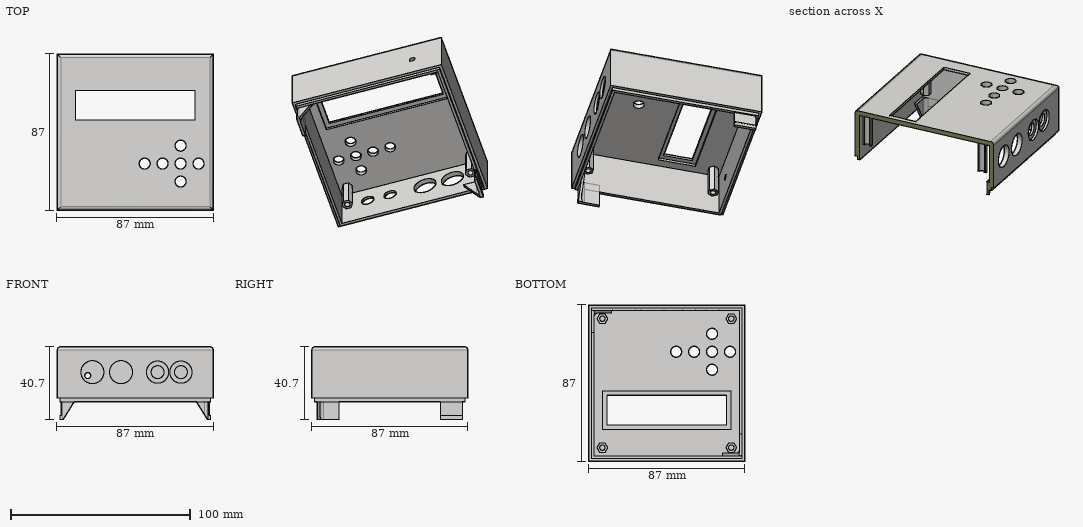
import cadquery as cq
import math

WIDTH = 87.0
HEIGHT = 40.7
WALL = 3.0
EDGE_RADIUS = 2.0
TAB_DROP = 10.0
LIP_HEIGHT = 2.0
LIP_INSET = 1.5
LIP_BOTTOM = -(HEIGHT - TAB_DROP)
BODY_BOTTOM = LIP_BOTTOM + LIP_HEIGHT
HALF_WIDTH = WIDTH / 2
INNER_HALF = HALF_WIDTH - WALL

WINDOW_LENGTH = 66.4
WINDOW_WIDTH = 16.4
WINDOW_Y = 15.0
DISPLAY_MARGIN = 2.5
WINDOW_THICKNESS = 1.5

BUTTON_DIAMETER = 6.0
BUTTON_PITCH = 10.0
BUTTON_CENTRE = (25.2, -17.5)
BUTTON_STEPS = [(-2, 0), (-1, 0), (0, 0), (1, 0), (0, 1), (0, -1)]

CONNECTOR_Z = -14.2
PLAIN_HOLE_DIAMETER = 12.8
PLAIN_HOLE_XS = (-23.9, -7.95)
JACK_HOLE_DIAMETER = 7.2
JACK_RECESS_DIAMETER = 12.4
JACK_RECESS_DEPTH = 1.5
JACK_XS = (12.4, 25.4)

CABLE_HOLE_DIAMETER = 3.2
CABLE_HOLE_X = -26.5
CABLE_HOLE_Z = -16.1

TAB_LENGTH = 12.3
TAB_THICKNESS = 0.8
TAB_ROOT_HEIGHT = 5.0
TAB_TOP = LIP_BOTTOM + TAB_ROOT_HEIGHT
TAB_BOTTOM = -HEIGHT
RIDGE_HEIGHT = 2.4
RIDGE_DEPTH = 0.7
GUSSET_THICKNESS = 1.5
GUSSET_TIP = 0.3
GUSSET_SLOPE = 0.62
GUSSET_FILLET = 2.0

POST_OFFSET = 35.9
POST_SIDES = 6
POST_DIAMETER = 6.0
POST_HOLE_DIAMETER = 3.0
POST_BOTTOM = -20.4


def box(x_range, y_range, z_range):
    """Axis-aligned box between pairs of limits."""
    size = [high - low for low, high in (x_range, y_range, z_range)]
    corner = (x_range[0], y_range[0], z_range[0])
    return cq.Workplane("XY").box(*size, centered=False).translate(corner)


def square_block(half, bottom, top):
    return box((-half, half), (-half, half), (bottom, top))


def y_cylinder(diameter, x, z, y_start, length):
    """Cylinder that runs from y_start toward +Y."""
    start = cq.Vector(x, y_start, z)
    return cq.Workplane(cq.Solid.makeCylinder(diameter / 2, length, start, cq.Vector(0, 1, 0)))


def make_shell():
    body = square_block(HALF_WIDTH, BODY_BOTTOM, 0)
    body = body.faces(">Z").edges().fillet(EDGE_RADIUS)
    lip = square_block(HALF_WIDTH - LIP_INSET, LIP_BOTTOM, BODY_BOTTOM)
    cavity = square_block(INNER_HALF, LIP_BOTTOM, -WALL)
    return body.union(lip).cut(cavity)


def cut_window(part):
    window = cq.Workplane("XY").box(WINDOW_LENGTH, WINDOW_WIDTH, 2 * WALL)
    recess_length = WINDOW_LENGTH + 2 * DISPLAY_MARGIN
    recess_width = WINDOW_WIDTH + 2 * DISPLAY_MARGIN
    recess = cq.Workplane("XY").box(recess_length, recess_width, WALL)
    recess = recess.translate((0, 0, -WINDOW_THICKNESS - WALL / 2))
    return part.cut(window.union(recess).translate((0, WINDOW_Y, 0)))


def cut_buttons(part):
    centre_x, centre_y = BUTTON_CENTRE
    points = [(centre_x + i * BUTTON_PITCH, centre_y + j * BUTTON_PITCH) for i, j in BUTTON_STEPS]
    holes = cq.Workplane("XY").pushPoints(points).circle(BUTTON_DIAMETER / 2).extrude(-WALL)
    return part.cut(holes)


def cut_side_holes(part):
    for x in PLAIN_HOLE_XS:
        part = part.cut(y_cylinder(PLAIN_HOLE_DIAMETER, x, CONNECTOR_Z, -HALF_WIDTH, WALL))
    for x in JACK_XS:
        part = part.cut(y_cylinder(JACK_HOLE_DIAMETER, x, CONNECTOR_Z, -HALF_WIDTH, WALL))
        part = part.cut(y_cylinder(JACK_RECESS_DIAMETER, x, CONNECTOR_Z, -HALF_WIDTH, JACK_RECESS_DEPTH))
    return part.cut(y_cylinder(CABLE_HOLE_DIAMETER, CABLE_HOLE_X, CABLE_HOLE_Z, INNER_HALF, WALL))


def make_tab():
    """Snap tab of the +X +Y corner: plate, ridge, sloped gusset and corner fillet."""
    plate_outer = INNER_HALF + TAB_THICKNESS
    tab_start = INNER_HALF - TAB_LENGTH
    plate = box((INNER_HALF, plate_outer), (tab_start, INNER_HALF), (TAB_BOTTOM, TAB_TOP))
    ridge = box(
        (plate_outer, plate_outer + RIDGE_DEPTH),
        (tab_start, INNER_HALF),
        (TAB_BOTTOM, TAB_BOTTOM + RIDGE_HEIGHT),
    )
    gusset_y = INNER_HALF - GUSSET_THICKNESS
    fillet_x = INNER_HALF - GUSSET_FILLET
    fillet_y = gusset_y - GUSSET_FILLET
    diagonal = GUSSET_FILLET * (1 - math.sqrt(0.5))
    reach = GUSSET_TIP + GUSSET_SLOPE * (TAB_TOP - TAB_BOTTOM)
    gusset_x = INNER_HALF - reach
    bracket = (
        cq.Workplane("XY", origin=(0, 0, TAB_BOTTOM))
        .moveTo(gusset_x, INNER_HALF)
        .lineTo(gusset_x, gusset_y)
        .lineTo(fillet_x, gusset_y)
        .threePointArc((INNER_HALF - diagonal, gusset_y - diagonal), (INNER_HALF, fillet_y))
        .lineTo(INNER_HALF, INNER_HALF)
        .close()
        .extrude(TAB_TOP - TAB_BOTTOM)
    )
    slope = (
        cq.Workplane("XZ")
        .moveTo(gusset_x, TAB_TOP)
        .lineTo(INNER_HALF, TAB_TOP)
        .lineTo(INNER_HALF, TAB_BOTTOM)
        .lineTo(INNER_HALF - GUSSET_TIP, TAB_BOTTOM)
        .close()
        .extrude(-HALF_WIDTH)
    )
    return plate.union(ridge).union(bracket.intersect(slope), clean=False)


def add_posts(part):
    """Screw posts, each with a corner on its X axis and a blind hole from below."""
    centres = [(sx * POST_OFFSET, sy * POST_OFFSET) for sx in (-1, 1) for sy in (-1, 1)]
    base = cq.Workplane("XY", origin=(0, 0, POST_BOTTOM)).pushPoints(centres)
    length = -WALL - POST_BOTTOM
    posts = base.polygon(POST_SIDES, POST_DIAMETER).extrude(length)
    holes = base.circle(POST_HOLE_DIAMETER / 2).extrude(length)
    return part.union(posts).cut(holes)


def half_turn(shape):
    return shape.rotate((0, 0, 0), (0, 0, 1), 180)


result = add_posts(cut_side_holes(cut_buttons(cut_window(make_shell()))))
tab = make_tab()
result = result.union(tab, clean=False).union(half_turn(tab), clean=False)